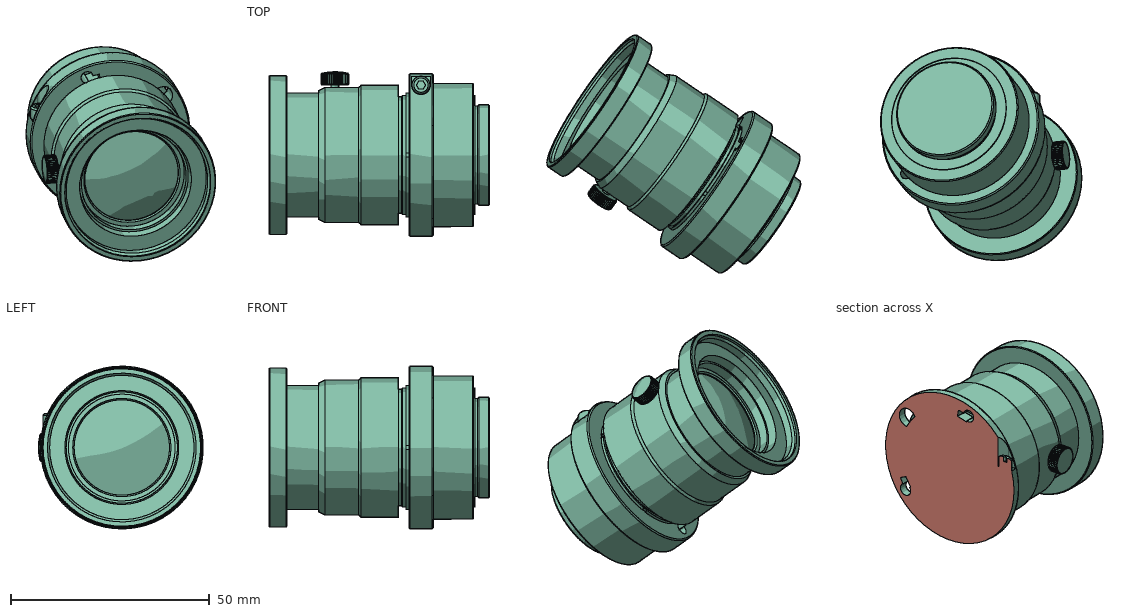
import cadquery as cq
import math

LENGTH = 55.55

HOOD_DIA = 40.05
HOOD_END = 4.55
HOOD_EDGE = 0.2

NECK_DIA = 31.3
NECK_END = 12.5
FRONT_CONE_DIA = 32.45
FRONT_CONE_END = 14.1
FRONT_BARREL_DIA = 34.05
FRONT_BARREL_END = 22.6
REAR_CONE_END = 23.2
REAR_BARREL_DIA = 35.15
REAR_BARREL_END = 32.6

SLEEVE_DIAS = (29.45, 30.0, 31.3)
SLEEVE_ENDS = (33.65, 34.5, 35.2)
NOTCH_WIDTH = 1.0
NOTCH_DEPTH = 0.2

CLAMP_DIA = 41.0
CLAMP_START = SLEEVE_ENDS[-1]
CLAMP_END = 41.4
CLAMP_EDGE = 0.35

BODY_DIA = 36.1
BODY_END = 51.55
BODY_EDGE = 0.3
RIM_DIA = 30.0
RIM_END = 51.85
RELIEF_DIA = 24.7
RELIEF_END = 52.55
THREAD_DIA = 25.4
THREAD_EDGE = 0.35

RIM_BORE_DIA = 37.45
RIM_BORE_DEPTH = 0.55
HOOD_BORE_DIA = 36.35
HOOD_BORE_DEPTH = 3.0
MIDDLE_BORE_DIA = 28.65
MIDDLE_BORE_END_DIA = 28.0
MIDDLE_BORE_DEPTH = 5.2
INNER_BORE_DIA = 26.9
INNER_BORE_DEPTH = 7.6
LENS_SEAT_DIA = 24.7
LENS_DIA = 24.0
LENS_EDGE_DEPTH = 8.2
LENS_APEX = 6.1

KNOB_X = 16.6
KNOB_DIA = 7.1
KNOB_BOTTOM = 17.65
KNOB_SHOULDER = 20.6
KNOB_TOP = 21.0
KNOB_EDGE = 0.3
KNOB_TEETH = 40
KNURL_DEPTH = 0.25
STEM_DIA = 2.05
STEM_OVERLAP = 0.55

SCREW_X = 38.3
SCREW_Y = 17.6
SCREW_HEAD_DIA = 4.5
SCREW_HEAD_TOP = 8.55
SCREW_HEAD_EDGE = 0.45
SCREW_SEAT_Z = 5.4
SCREW_POCKET_DIA = 4.7
SOCKET_FLATS = 2.0
SOCKET_DEPTH = 1.2

RELIEF_AXIS_ANGLE = 143.5
PIN_HOLE_DIA = 3.1
PIN_HOLE_RADIUS = 17.55
PIN_HOLE_SPREAD = 73.3
LARGE_HOLE_DIA = 5.0
LARGE_HOLE_RADIUS = 16.8
ARC_SLOT_OUTER = 17.4
ARC_SLOT_SPAN = 10.5


def outer_body():
    """Solid of revolution with every outer step, taper and edge chamfer."""
    hood_r = HOOD_DIA / 2
    clamp_r = CLAMP_DIA / 2
    body_r = BODY_DIA / 2
    thread_r = THREAD_DIA / 2
    outline = [
        (0, 0),
        (0, hood_r - HOOD_EDGE),
        (HOOD_EDGE, hood_r),
        (HOOD_END - HOOD_EDGE, hood_r),
        (HOOD_END, hood_r - HOOD_EDGE),
        (HOOD_END, NECK_DIA / 2),
        (NECK_END, NECK_DIA / 2),
        (NECK_END, FRONT_CONE_DIA / 2),
        (FRONT_CONE_END, FRONT_BARREL_DIA / 2),
        (FRONT_BARREL_END, FRONT_BARREL_DIA / 2),
        (REAR_CONE_END, REAR_BARREL_DIA / 2),
        (REAR_BARREL_END, REAR_BARREL_DIA / 2),
    ]
    first_r, second_r, third_r = [dia / 2 for dia in SLEEVE_DIAS]
    first_end, second_end, third_end = SLEEVE_ENDS
    outline += [
        (REAR_BARREL_END, first_r),
        (first_end - (second_r - first_r), first_r),
        (first_end, second_r),
        (second_end, second_r),
        (second_end, third_r),
        (third_end, third_r),
        (CLAMP_START, clamp_r - CLAMP_EDGE),
        (CLAMP_START + CLAMP_EDGE, clamp_r),
        (CLAMP_END - CLAMP_EDGE, clamp_r),
        (CLAMP_END, clamp_r - CLAMP_EDGE),
        (CLAMP_END, body_r),
        (BODY_END - BODY_EDGE, body_r),
        (BODY_END, body_r - BODY_EDGE),
        (BODY_END, RIM_DIA / 2),
        (RIM_END, RIM_DIA / 2),
        (RIM_END, RELIEF_DIA / 2),
        (RELIEF_END, RELIEF_DIA / 2),
        (RELIEF_END + THREAD_EDGE, thread_r),
        (LENGTH - THREAD_EDGE, thread_r),
        (LENGTH, thread_r - THREAD_EDGE),
        (LENGTH, 0),
    ]
    return cq.Workplane("XY").polyline(outline).close().revolve(360, (0, 0, 0), (1, 0, 0))


def front_opening():
    """Stepped bores whose floor is the convex lens surface."""
    lens_r = LENS_DIA / 2
    sag = LENS_EDGE_DEPTH - LENS_APEX
    rim_taper = (RIM_BORE_DIA - HOOD_BORE_DIA) / 2
    seat_taper = (LENS_SEAT_DIA - LENS_DIA) / 2
    dome_radius = (lens_r**2 + sag**2) / (2 * sag)
    half_r = lens_r / 2
    half_x = LENS_APEX + dome_radius - math.sqrt(dome_radius**2 - half_r**2)
    return (
        cq.Workplane("XY")
        .lineTo(0, RIM_BORE_DIA / 2)
        .lineTo(RIM_BORE_DEPTH, RIM_BORE_DIA / 2)
        .lineTo(RIM_BORE_DEPTH + rim_taper, HOOD_BORE_DIA / 2)
        .lineTo(HOOD_BORE_DEPTH, HOOD_BORE_DIA / 2)
        .lineTo(HOOD_BORE_DEPTH, MIDDLE_BORE_DIA / 2)
        .lineTo(MIDDLE_BORE_DEPTH, MIDDLE_BORE_END_DIA / 2)
        .lineTo(MIDDLE_BORE_DEPTH, INNER_BORE_DIA / 2)
        .lineTo(INNER_BORE_DEPTH, INNER_BORE_DIA / 2)
        .lineTo(INNER_BORE_DEPTH, LENS_SEAT_DIA / 2)
        .lineTo(INNER_BORE_DEPTH + seat_taper, lens_r)
        .lineTo(LENS_EDGE_DEPTH, lens_r)
        .threePointArc((half_x, half_r), (LENS_APEX, 0))
        .close()
        .revolve(360, (0, 0, 0), (1, 0, 0))
    )


def sleeve_notches():
    """Four shallow notches around the last step of the sleeve."""
    width_x = SLEEVE_ENDS[-1] - SLEEVE_ENDS[-2]
    radius = SLEEVE_DIAS[-1] / 2
    notch = cq.Workplane("XY").box(width_x, NOTCH_WIDTH, 2 * NOTCH_DEPTH)
    notch = notch.translate((SLEEVE_ENDS[-2] + width_x / 2, 0, radius))
    notches = notch
    for turn in (90, 180, 270):
        notches = notches.union(notch.rotate((0, 0, 0), (1, 0, 0), turn))
    return notches


def clamp_openings():
    """Two pin holes with an arc slot beside each, and the large hole between them.

    All of them stop at the sleeve, which runs on inside the clamp ring.
    """
    depth = CLAMP_END - CLAMP_START
    face = cq.Workplane("YZ", origin=(CLAMP_START, 0, 0))

    def on_ring(radius, angle):
        return (radius * math.cos(math.radians(angle)), radius * math.sin(math.radians(angle)))

    def round_hole(dia, radius, angle):
        return face.pushPoints([on_ring(radius, angle)]).circle(dia / 2).extrude(depth)

    def arc_slot(start, end):
        middle = (start + end) / 2
        return (
            face.lineTo(*on_ring(ARC_SLOT_OUTER, start))
            .threePointArc(on_ring(ARC_SLOT_OUTER, middle), on_ring(ARC_SLOT_OUTER, end))
            .close()
            .extrude(depth)
        )

    openings = round_hole(LARGE_HOLE_DIA, LARGE_HOLE_RADIUS, RELIEF_AXIS_ANGLE)
    for side in (-1, 1):
        pin_angle = RELIEF_AXIS_ANGLE + side * PIN_HOLE_SPREAD
        openings = openings.union(round_hole(PIN_HOLE_DIA, PIN_HOLE_RADIUS, pin_angle))
        openings = openings.union(arc_slot(pin_angle, pin_angle - side * ARC_SLOT_SPAN))
    return openings.cut(face.circle(SLEEVE_DIAS[-1] / 2).extrude(depth))


def screw_pocket():
    """Round-ended pocket for the screw head, open toward +Y and +Z."""
    radius = SCREW_POCKET_DIA / 2
    reach = CLAMP_DIA / 2 - SCREW_Y
    floor = cq.Workplane("XY", origin=(SCREW_X, SCREW_Y, SCREW_SEAT_Z))
    height = CLAMP_DIA / 2 - SCREW_SEAT_Z
    sides = floor.center(0, reach / 2).rect(SCREW_POCKET_DIA, reach).extrude(height)
    return floor.circle(radius).extrude(height).union(sides)


def clamp_screw():
    """Socket head of the clamp screw."""
    head = cq.Workplane("XY", origin=(SCREW_X, SCREW_Y, SCREW_SEAT_Z))
    head = head.circle(SCREW_HEAD_DIA / 2).extrude(SCREW_HEAD_TOP - SCREW_SEAT_Z)
    head = head.faces(">Z").edges().chamfer(SCREW_HEAD_EDGE)
    socket_corners = SOCKET_FLATS / math.cos(math.radians(30))
    return head.faces(">Z").workplane().polygon(6, socket_corners).cutBlind(-SOCKET_DEPTH)


def knob():
    """Knob with V-groove knurling and a crowned top, on a thin stem rooted in the front barrel."""
    radius = KNOB_DIA / 2
    crown_r = radius - KNOB_EDGE
    stem_r = STEM_DIA / 2
    crown_rise = KNOB_TOP - KNOB_SHOULDER
    crown_radius = (crown_r**2 + crown_rise**2) / (2 * crown_rise)
    crown_middle = KNOB_TOP - crown_radius + math.sqrt(crown_radius**2 - (crown_r / 2) ** 2)
    stem_root = FRONT_BARREL_DIA / 2 - STEM_OVERLAP
    turned = (
        cq.Workplane("XY")
        .moveTo(0, stem_root)
        .lineTo(stem_r, stem_root)
        .lineTo(stem_r, KNOB_BOTTOM)
        .lineTo(crown_r, KNOB_BOTTOM)
        .lineTo(radius, KNOB_BOTTOM + KNOB_EDGE)
        .lineTo(radius, KNOB_SHOULDER - KNOB_EDGE)
        .lineTo(crown_r, KNOB_SHOULDER)
        .threePointArc((crown_r / 2, crown_middle), (0, KNOB_TOP))
        .close()
        .revolve(360, (0, 0, 0), (0, 1, 0))
    )
    grooves = (
        cq.Workplane("XZ")
        .polarArray(radius, 0, 360, KNOB_TEETH)
        .polygon(4, 2 * KNURL_DEPTH)
        .extrude(-(KNOB_TOP - KNOB_BOTTOM))
        .translate((0, KNOB_BOTTOM, 0))
    )
    return turned.cut(grooves).translate((KNOB_X, 0, 0))


result = (
    outer_body()
    .cut(front_opening())
    .cut(sleeve_notches())
    .cut(clamp_openings())
    .cut(screw_pocket())
    .union(clamp_screw())
    .union(knob())
)